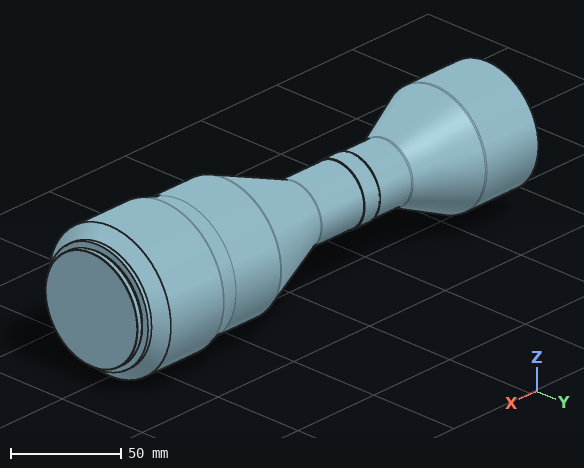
import cadquery as cq

eyepiece_radius = 32.0
tube_radius = 17.0
ring_radius = 17.5
body_radius = 35.0
head_radius = 38.0
shoulder_radius = 31.5
neck_radius = 28.0
rim_radius = 28.8

eyepiece_end = 34.6
rear_cone_end = 67.6
ring_start = 89.1
ring_end = 99.3
front_cone_start = 127.6
front_cone_end = 173.1
taper_start = 202.9
head_start = 214.1
head_end = 248.9
shoulder_start = 254.8
shoulder_end = 257.1
rim_start = 258.5
overall_length = 261.3

rim_chamfer = 0.2
blend_radius = 2.0

blend_search = 1.0


def half_profile():
    """Closed outline in the XZ plane, from the axis out to the turned surface."""
    return (
        cq.Workplane("XZ")
        .moveTo(0, 0)
        .lineTo(0, eyepiece_radius)
        .lineTo(eyepiece_end, eyepiece_radius)
        .lineTo(rear_cone_end, tube_radius)
        .lineTo(ring_start, tube_radius)
        .lineTo(ring_start, ring_radius)
        .lineTo(ring_end, ring_radius)
        .lineTo(ring_end, tube_radius)
        .lineTo(front_cone_start, tube_radius)
        .lineTo(front_cone_end, body_radius)
        .lineTo(taper_start, body_radius)
        .lineTo(head_start, head_radius)
        .lineTo(head_end, head_radius)
        .lineTo(shoulder_start, shoulder_radius)
        .lineTo(shoulder_end, shoulder_radius)
        .lineTo(shoulder_end, neck_radius)
        .lineTo(rim_start, neck_radius)
        .lineTo(rim_start, rim_radius)
        .lineTo(overall_length - rim_chamfer, rim_radius)
        .lineTo(overall_length, rim_radius - rim_chamfer)
        .lineTo(overall_length, 0)
        .close()
    )


def blend_corner(part, corner_x):
    """Round the circular corner centred on the axis at corner_x."""
    corner_zone = cq.selectors.BoxSelector(
        (corner_x - blend_search, -head_radius, -head_radius),
        (corner_x + blend_search, head_radius, head_radius),
    )
    return part.edges(corner_zone).fillet(blend_radius)


result = half_profile().revolve(360, (0, 0, 0), (1, 0, 0))

for blended_corner in (eyepiece_end, rear_cone_end, front_cone_start, front_cone_end, head_start):
    result = blend_corner(result, blended_corner)